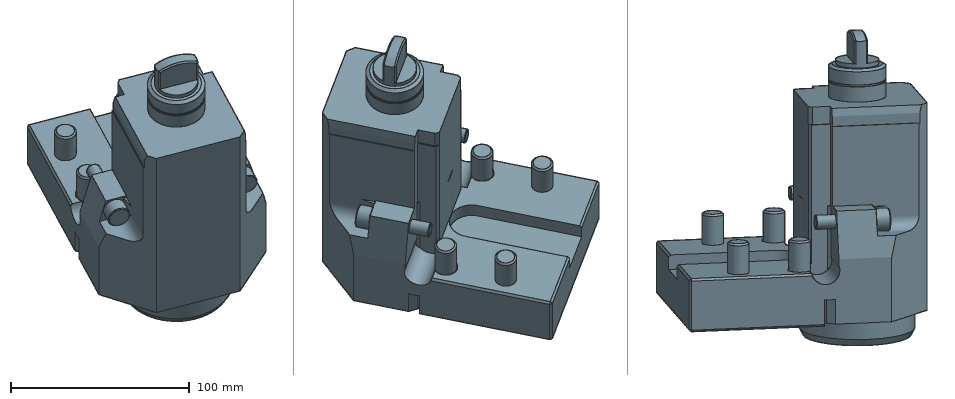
import cadquery as cq


width = 100.0
left_end = -105.0
right_end = 35.0
plate_top = 46.8
block_bottom = 17.5
edge_chamfer = 1.2
plate_bottom = block_bottom - edge_chamfer
corner_cut = 25.0

housing_radius = 32.5
housing_top = 79.6
flange_chamfer_height = 4.0
flange_chamfer_width = 2.0

column_left = -32.1
shoulder_x = -20.0
column_half_width = 30.7
column_front_half_width = 24.3
column_top = 126.3
cap_half_width = 30.2
cap_front_half_width = 23.6
cap_top_half_width = 29.0
cap_taper_start = 131.9
cap_top = 136.4
small_bevel = 1.5
large_bevel = 2.0

ear_top = 80.7
ear_top_half_width = 43.0
ear_taper_start = 54.5

screw_y = 38.0
screw_z = 73.5
shank_radius = 4.0
shank_left = -31.2
shank_chamfer = 0.5
head_radius = 6.5
head_length = 8.2
head_chamfer = 0.5
seat_x = 2.6
pocket_radius = screw_y - column_half_width

relief_radius = 8.0
relief_x = -27.4
relief_z = 48.4
coolant_slot_width = 25.0
coolant_slot_depth = 8.3
notch_left = -28.1
notch_right = -21.9
notch_top = 31.5
notch_step = 1.7
notch_depth = 8.0
notch_step_depth = 3.3

pin_radius = 6.0
pin_top = 64.4
pin_chamfer = 1.0
pin_positions = (-75.0, -40.0)
pin_recess_radius = 6.6
pin_recess_depth = 1.0

collar_radius = 16.1
collar_top = 155.0
collar_chamfer_width = 2.0
collar_chamfer_height = 1.2
collar_groove_z = 145.0
collar_groove_width = 1.0
collar_groove_depth = 0.5
hub_radius = 12.1
hub_top = 157.4
tang_thickness = 7.6
tang_top = 173.5
tang_side_top = 170.2
tang_bevel = 0.9

both_sides = (-1, 1)


def box(x_range, y_range, z_range):
    """Box between the given limits; each range may be listed in either order."""
    limits = [sorted(limit) for limit in (x_range, y_range, z_range)]
    size = [high - low for low, high in limits]
    corner = [low for low, high in limits]
    return cq.Workplane("XY").box(*size, centered=False).translate(tuple(corner))


def upright(radius, bottom, top, x=0, y=0):
    return cq.Workplane("XY", origin=(x, y, bottom)).circle(radius).extrude(top - bottom)


def along_x(radius, start, end, y, z):
    return cq.Workplane("YZ", origin=(start, y, z)).circle(radius).extrude(end - start)


def make_base():
    """Plate with chamfered edges, plus the slightly higher block behind it."""
    plate = box((left_end, shoulder_x), (-width / 2, width / 2), (plate_bottom, plate_top))
    plate = plate.edges("<X or (|X and >Z) or (|X and <Z)").chamfer(edge_chamfer)
    plate = plate.cut(box((notch_left, shoulder_x), (-width, width), (plate_bottom, block_bottom)))
    ear_profile = [
        (-width / 2, block_bottom),
        (width / 2, block_bottom),
        (width / 2, ear_taper_start),
        (ear_top_half_width, ear_top),
        (-ear_top_half_width, ear_top),
        (-width / 2, ear_taper_start),
    ]
    ears = cq.Workplane("YZ", origin=(shoulder_x, 0, 0)).polyline(ear_profile).close()
    return plate.union(ears.extrude(right_end - shoulder_x))


def cut_coolant_slot(body):
    radius = coolant_slot_width / 2
    end_x = column_left - radius
    floor = plate_top - coolant_slot_depth
    body = body.cut(box((left_end, end_x), (-radius, radius), (floor, plate_top)))
    return body.cut(upright(radius, floor, plate_top, end_x))


def cut_relief_groove(body, side):
    """Round groove at the foot of one ear, running in from the side to the column."""
    groove = cq.Workplane("XZ", origin=(relief_x, side * column_front_half_width, relief_z))
    length = width / 2 - column_front_half_width
    return body.cut(groove.circle(relief_radius).extrude(-side * length))


def cut_screw_pocket(body, side):
    """Open pocket for a screw head, rounded on the side next to the column."""
    floor = screw_z - pocket_radius
    inner_y = side * (screw_y - pocket_radius)
    pocket_x = (seat_x, right_end)
    body = body.cut(box(pocket_x, (inner_y, side * width), (screw_z, ear_top)))
    body = body.cut(box(pocket_x, (side * screw_y, side * width), (floor, screw_z)))
    return body.cut(along_x(pocket_radius, seat_x, right_end, side * screw_y, screw_z))


def cut_side_notch(body, side):
    outer_y = side * width / 2
    outline = [
        (notch_left, outer_y),
        (notch_left, outer_y - side * notch_depth),
        (notch_left + notch_step, outer_y - side * notch_step_depth),
        (notch_right, outer_y),
    ]
    notch = cq.Workplane("XY", origin=(0, 0, plate_bottom)).polyline(outline).close()
    return body.cut(notch.extrude(notch_top - plate_bottom))


def make_post(half_width, front_half_width, bevel_x, bevel_y, bottom, top):
    """Column section with a narrower, bevelled front."""
    outline = [
        (right_end, half_width),
        (shoulder_x, half_width),
        (shoulder_x, front_half_width),
        (column_left + bevel_x, front_half_width),
        (column_left, front_half_width - bevel_y),
    ]
    outline += [(x, -y) for x, y in reversed(outline)]
    post = cq.Workplane("XY", origin=(0, 0, bottom)).polyline(outline).close()
    return post.extrude(top - bottom)


def make_column():
    return make_post(
        column_half_width, column_front_half_width, small_bevel, large_bevel, block_bottom, column_top
    )


def make_cap():
    """Top of the column, with sides that lean inward above a short straight band."""
    cap = make_post(cap_half_width, cap_front_half_width, large_bevel, small_bevel, column_top, cap_top)
    profile = [
        (-cap_half_width, column_top),
        (cap_half_width, column_top),
        (cap_half_width, cap_taper_start),
        (cap_top_half_width, cap_top),
        (-cap_top_half_width, cap_top),
        (-cap_half_width, cap_taper_start),
    ]
    envelope = cq.Workplane("YZ", origin=(column_left, 0, 0)).polyline(profile).close()
    return cap.intersect(envelope.extrude(right_end - column_left))


def cut_rear_corner(body, side):
    """Cut one rear corner of the whole body at 45 degrees."""
    outer_y = side * width / 2
    outline = [
        (right_end - corner_cut, outer_y),
        (right_end, outer_y),
        (right_end, outer_y - side * corner_cut),
    ]
    return body.cut(cq.Workplane("XY").polyline(outline).close().extrude(cap_top))


def make_housing():
    housing = upright(housing_radius, 0, housing_top)
    return housing.faces("<Z").chamfer(flange_chamfer_height, flange_chamfer_width)


def make_screw(side):
    shank = along_x(shank_radius, shank_left, seat_x, side * screw_y, screw_z)
    shank = shank.faces("<X").chamfer(shank_chamfer)
    head = along_x(head_radius, seat_x, seat_x + head_length, side * screw_y, screw_z)
    return shank.union(head.faces(">X").chamfer(head_chamfer))


def cut_pin_recess(body, x, y):
    return body.cut(upright(pin_recess_radius, plate_top - pin_recess_depth, plate_top, x, y))


def make_pin(x, y):
    pin = upright(pin_radius, block_bottom, pin_top, x, y)
    return pin.faces(">Z").chamfer(pin_chamfer)


def make_collar():
    collar = upright(collar_radius, cap_top, collar_top)
    collar = collar.faces(">Z").chamfer(collar_chamfer_height, collar_chamfer_width)
    groove_top = collar_groove_z + collar_groove_width
    groove = upright(collar_radius, collar_groove_z, groove_top)
    groove = groove.cut(upright(collar_radius - collar_groove_depth, collar_groove_z, groove_top))
    return collar.cut(groove).union(upright(hub_radius, collar_top, hub_top))


def make_tang():
    """Flat tang with an arched top, trimmed to the hub and bevelled along its outline."""
    tang = (
        cq.Workplane("YZ", origin=(-tang_thickness / 2, 0, 0))
        .moveTo(-hub_radius, hub_top)
        .lineTo(hub_radius, hub_top)
        .lineTo(hub_radius, tang_side_top)
        .threePointArc((0, tang_top), (-hub_radius, tang_side_top))
        .close()
        .extrude(tang_thickness)
    )
    tang = tang.intersect(upright(hub_radius, hub_top, tang_top))
    return tang.faces("<X or >X").edges("not <Z").chamfer(tang_bevel)


result = make_base()
for side in both_sides:
    result = cut_screw_pocket(result, side)
    result = cut_side_notch(result, side)
    result = cut_pin_recess(result, pin_positions[-1], side * screw_y)
result = result.union(make_column()).union(make_cap())
for side in both_sides:
    result = cut_relief_groove(result, side)
    result = cut_rear_corner(result, side)
result = cut_coolant_slot(result.union(make_housing()))
result = result.union(make_collar()).union(make_tang())
for side in both_sides:
    result = result.union(make_screw(side))
    for x in pin_positions:
        result = result.union(make_pin(x, side * screw_y))